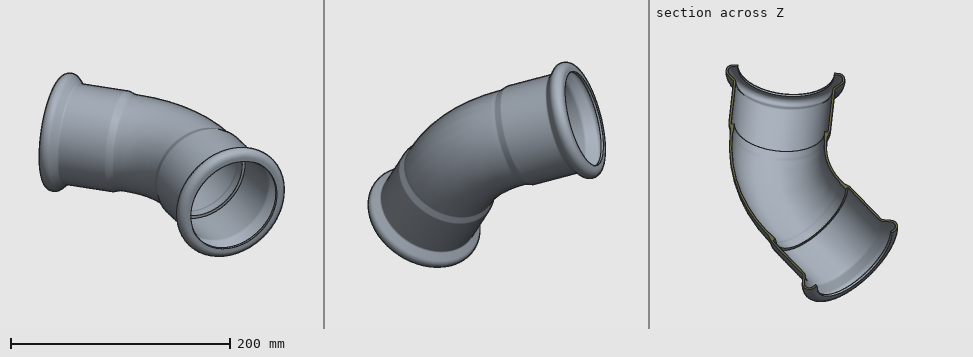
import cadquery as cq
import math

bend_angle = 45.0
bend_radius = 101.5
leg_length = 73.3
wall = 2.3

bead_diameter = 109.3
socket_diameter = 93.3
tube_diameter = 88.8

bead_round = 6.7
cone_angle = 45.0
neck_round = 2.3
taper_start = 62.8
taper_end = 69.5
taper_blend = 0.58

stop_diameter = 82.8
stop_start = 63.0
stop_end = 70.5

socket_radius = socket_diameter / 2
tube_radius = tube_diameter / 2
bore_radius = socket_radius - wall
bead_centre_radius = bead_diameter / 2 - bead_round


def on_circle(centre, radius, angle):
    """Point on a circle, at an angle in degrees from the axial direction."""
    turn = math.radians(angle)
    return (centre[0] + radius * math.cos(turn), centre[1] + radius * math.sin(turn))


def collar_body(inset):
    """Solid bounded by the collar's outer skin, moved inward by inset."""
    bead_centre = (bead_round, bead_centre_radius)
    bead_r = bead_round - inset
    normal_angle = 90 - cone_angle
    bead_end = on_circle(bead_centre, bead_r, normal_angle)

    socket_r = socket_radius - inset
    neck_r = neck_round + inset
    neck_centre_radius = socket_r + neck_r
    cone_end_radius = on_circle((0, neck_centre_radius), neck_r, normal_angle + 180)[1]
    cone_length = (bead_end[1] - cone_end_radius) / math.tan(math.radians(cone_angle))
    cone_end = (bead_end[0] + cone_length, cone_end_radius)
    neck_centre = on_circle(cone_end, neck_r, normal_angle)
    neck_end = (neck_centre[0], socket_r)

    tube_r = tube_radius - inset
    slope = math.atan2(socket_r - tube_r, taper_end - taper_start)
    blend_x = taper_blend * math.cos(slope)
    blend_r = taper_blend * math.sin(slope)

    outline = (
        cq.Workplane("XY")
        .moveTo(inset, 0)
        .lineTo(inset, bead_centre_radius)
        .threePointArc(on_circle(bead_centre, bead_r, (180 + normal_angle) / 2), bead_end)
        .lineTo(*cone_end)
        .tangentArcPoint(neck_end, relative=False)
        .lineTo(taper_start - taper_blend, socket_r)
        .tangentArcPoint((taper_start + blend_x, socket_r - blend_r), relative=False)
        .lineTo(taper_end - blend_x, tube_r + blend_r)
        .tangentArcPoint((taper_end + taper_blend, tube_r), relative=False)
        .lineTo(leg_length, tube_r)
        .lineTo(leg_length, 0)
        .close()
    )
    return outline.revolve(360, (0, 0, 0), (1, 0, 0))


def stop_ring():
    """Ring with a square shoulder for the pipe and a cone opening into the bend."""
    stop_radius = stop_diameter / 2
    outer_radius = tube_radius - wall / 2
    step_radius = bore_radius + wall / 2
    section = (
        cq.Workplane("XY")
        .moveTo(stop_start, stop_radius)
        .lineTo(stop_start, step_radius)
        .lineTo(taper_end, outer_radius)
        .lineTo(leg_length, outer_radius)
        .lineTo(leg_length, tube_radius - wall)
        .lineTo(stop_end, stop_radius)
        .close()
    )
    return section.revolve(360, (0, 0, 0), (1, 0, 0))


def collar():
    """Press collar with its mouth at the origin and its axis along +X."""
    mouth = cq.Workplane("YZ").circle(bore_radius).extrude(2 * wall)
    return collar_body(0).cut(collar_body(wall)).cut(mouth).union(stop_ring())


def bend():
    """Curved tube joining the two collars."""
    return (
        cq.Workplane("YZ", origin=(leg_length, 0, 0))
        .circle(tube_radius)
        .circle(tube_radius - wall)
        .revolve(bend_angle, (-bend_radius, 2.3, 0), (-bend_radius, 0, 0))
    )


first_collar = collar()
second_collar = (
    first_collar.mirror("YZ")
    .translate((2 * leg_length, 0, 0))
    .rotate((leg_length, -bend_radius, 0), (leg_length, -bend_radius, 1), -bend_angle)
)

result = first_collar.union(bend()).union(second_collar)